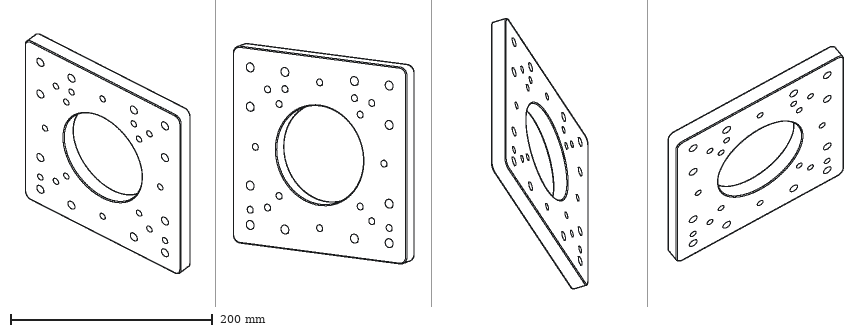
import cadquery as cq

side = 200.0
thickness = 16.0
corner_radius = 8.0
edge_chamfer = 1.0

bore_diameter = 100.0
bore_chamfer = 1.0

mount_diameter = 9.0
mount_outer = 80.0
mount_inner = mount_outer / 2

small_diameter = 6.8
axis_offset = 74.0
diagonal_offset = 60.0
inner_circle_radius = 66.0
inner_hole_count = 4
inner_start_angle = 45.0
upper_pair_x = mount_inner
upper_pair_z = 62.5
lower_pair_x = mount_outer
lower_pair_z = -64.5


def four_way(x, z):
    """Points mirrored about both plate centre lines."""
    return [(sx * x, sz * z) for sx in (-1, 1) for sz in (-1, 1)]


def plate_face(body):
    """Workplane on the front face, centred on the plate, with X and Z as its axes."""
    return body.faces("<Y").workplane(centerOption="CenterOfBoundBox")


plate = cq.Workplane("XY").box(side, thickness, side)
plate = plate.edges("|Y").fillet(corner_radius)
plate = plate.faces("<Y or >Y").chamfer(edge_chamfer)

plate = plate_face(plate).circle(bore_diameter / 2).cutThruAll()
bore_rims = cq.selectors.RadiusNthSelector(-1)
plate = plate.edges("%CIRCLE").edges(bore_rims).chamfer(bore_chamfer)

mount_points = (
    four_way(mount_outer, mount_outer)
    + four_way(mount_inner, mount_outer)
    + four_way(mount_outer, mount_inner)
)
plate = plate_face(plate).pushPoints(mount_points).hole(mount_diameter)

small_points = four_way(diagonal_offset, diagonal_offset) + [
    (-axis_offset, 0),
    (axis_offset, 0),
    (0, -axis_offset),
    (0, axis_offset),
    (-upper_pair_x, upper_pair_z),
    (upper_pair_x, upper_pair_z),
    (-lower_pair_x, lower_pair_z),
    (lower_pair_x, lower_pair_z),
]
plate = plate_face(plate).pushPoints(small_points).hole(small_diameter)

plate = (
    plate_face(plate)
    .polarArray(inner_circle_radius, inner_start_angle, 360, inner_hole_count)
    .hole(small_diameter)
)

result = plate